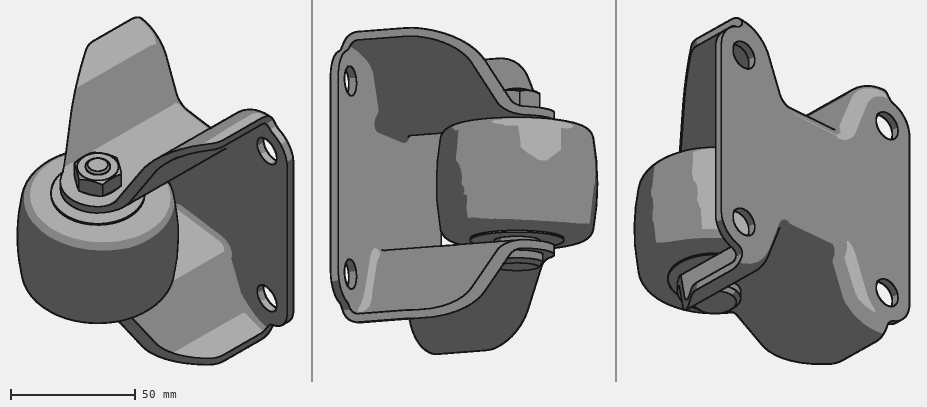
import cadquery as cq
import math


sheet = 3.5
half_height = 59.5
half_width = 52.0
axle_y = -59.4
through = 238.0

hole_pitch = 79.1
hole_diameter = 12.0
hole_offset = hole_pitch / 2
plate_corner_radius = half_width - hole_offset
plate_relief_radius = 4.8
fold_inner_radius = sheet
fold_outer_radius = fold_inner_radius + sheet

leg_half_width = 40.0
middle_half_width = 12.0
middle_outer_z = 29.0
middle_inner_z = middle_outer_z - sheet
valley_radius = 4.0
crest_radius = 19.4
tongue_radius = 15.1
wing_corner_y = -30.0
wing_corner_radius = 10.0

axle_radius = 5.0
axle_chamfer = 1.0
axle_top_z = 38.3
nut_across_flats = 17.5
nut_top_z = 37.1
nut_face_radius = 8.3
nut_chamfer_angle = math.radians(30)
head_radius = 10.5
head_height = 5.0
head_chamfer = 1.8

wheel_radius = 32.5
wheel_half_width = 22.5
crown_radius = 107.1
wheel_edge_radius = 5.0
hub_radius = 18.9
hub_half_width = 23.2
spacer_radius = 9.2


def leg_prism(offset, front_y):
    """Solid between both legs' faces lying `offset` inside the outer face, starting at Y = front_y."""
    valley = valley_radius + offset
    crest = crest_radius - offset
    valley_x, valley_z = middle_half_width, middle_outer_z + valley_radius
    crest_x, crest_z = leg_half_width, half_height - crest_radius

    run = crest_x - valley_x
    rise = crest_z - valley_z
    slope = math.atan2(rise, run) + math.asin((valley + crest) / math.hypot(run, rise))

    def on_valley(angle):
        return valley_x + valley * math.sin(angle), valley_z - valley * math.cos(angle)

    def on_crest(angle):
        return crest_x - crest * math.sin(angle), crest_z + crest * math.cos(angle)

    quarter = (
        cq.Workplane("XZ", origin=(0, front_y, 0))
        .moveTo(0, 0)
        .lineTo(0, on_valley(0)[1])
        .lineTo(*on_valley(0))
        .threePointArc(on_valley(slope / 2), on_valley(slope))
        .lineTo(*on_crest(slope))
        .threePointArc(on_crest(slope / 2), on_crest(0))
        .lineTo(half_width, on_crest(0)[1])
        .lineTo(half_width, 0)
        .close()
        .extrude(through)
    )
    upper = quarter.union(quarter.mirror("YZ"))
    return upper.union(upper.mirror("XY")).clean()


def rounded_back(prism, radius):
    """Round the profile edges where the +Y face of the prism meets the leg faces."""
    return prism.faces(">Y").edges("not |Z").fillet(radius)


def plate_outline():
    """Outline of the bracket along Y, as a prism: legs plus the four rounded mounting ears."""
    reach = plate_corner_radius + plate_relief_radius
    relief_x = leg_half_width + plate_relief_radius
    relief_z = hole_offset + math.sqrt(reach**2 - (relief_x - hole_offset) ** 2)
    turn = math.atan2(relief_z - hole_offset, relief_x - hole_offset)

    def on_corner(angle):
        return (
            hole_offset + plate_corner_radius * math.cos(angle),
            hole_offset + plate_corner_radius * math.sin(angle),
        )

    def on_relief(angle):
        return (
            relief_x - plate_relief_radius * math.cos(angle),
            relief_z - plate_relief_radius * math.sin(angle),
        )

    quarter = (
        cq.Workplane("XZ")
        .moveTo(0, 0)
        .lineTo(half_width, 0)
        .lineTo(*on_corner(0))
        .threePointArc(on_corner(turn / 2), on_corner(turn))
        .threePointArc(on_relief(turn / 2), on_relief(0))
        .lineTo(leg_half_width, half_height)
        .lineTo(0, half_height)
        .close()
        .extrude(through)
    )
    right = quarter.union(quarter.mirror("XY"))
    return right.union(right.mirror("YZ")).clean()


def leg_outline():
    """Outline of the legs along Z, as a prism: straight sides, slanted edges and tongue, plus the plate."""
    corner_drop = wing_corner_y - axle_y
    distance = math.hypot(leg_half_width, corner_drop)
    normal = math.atan2(corner_drop, leg_half_width) - math.acos(tongue_radius / distance)
    tangent_x = tongue_radius * math.cos(normal)
    tangent_y = axle_y + tongue_radius * math.sin(normal)

    wings = (
        cq.Workplane("XY")
        .polyline(
            [
                (-leg_half_width, 0),
                (leg_half_width, 0),
                (leg_half_width, wing_corner_y),
                (tangent_x, tangent_y),
                (-tangent_x, tangent_y),
                (-leg_half_width, wing_corner_y),
            ]
        )
        .close()
        .extrude(through / 2, both=True)
    )
    wing_corners = cq.selectors.BoxSelector(
        (-half_width, wing_corner_y - 1.2, -1.2), (half_width, wing_corner_y + 1.2, 1.2)
    )
    wings = wings.edges("|Z").edges(wing_corners).fillet(wing_corner_radius)
    tongue = (
        cq.Workplane("XY").center(0, axle_y).circle(tongue_radius).extrude(through / 2, both=True)
    )
    plate = cq.Workplane("XY").box(2 * half_width, 2 * fold_outer_radius, through)
    return wings.union(tongue).union(plate)


def mounting_holes():
    """Cutters for the four holes through the mounting plate."""
    return (
        cq.Workplane("XZ")
        .rect(hole_pitch, hole_pitch, forConstruction=True)
        .vertices()
        .circle(hole_diameter / 2)
        .extrude(through)
    )


def make_nut():
    """Hexagon nut with corners along Y, both ends chamfered by a cone."""
    blank = (
        cq.Workplane("XY", origin=(0, axle_y, middle_outer_z))
        .polygon(6, nut_across_flats, circumscribed=True)
        .extrude(nut_top_z - middle_outer_z)
    )
    corner_radius = nut_across_flats / math.sqrt(3)
    chamfer_height = (corner_radius - nut_face_radius) * math.tan(nut_chamfer_angle)
    envelope = (
        cq.Workplane("XY", origin=(0, axle_y, middle_outer_z))
        .circle(corner_radius)
        .extrude(nut_top_z - middle_outer_z)
        .faces("<Z or >Z")
        .chamfer(chamfer_height, corner_radius - nut_face_radius)
    )
    return blank.intersect(envelope)


def make_axle():
    """Bolt shank through both legs, with a round chamfered head under the lower leg."""
    shank = (
        cq.Workplane("XY", origin=(0, axle_y, -middle_outer_z))
        .circle(axle_radius)
        .extrude(axle_top_z + middle_outer_z)
        .faces(">Z")
        .chamfer(axle_chamfer)
    )
    head = (
        cq.Workplane("XY", origin=(0, axle_y, -middle_outer_z))
        .circle(head_radius)
        .extrude(-head_height)
        .faces("<Z")
        .chamfer(head_chamfer)
    )
    return shank.union(head)


def make_bracket():
    """Bent sheet trimmed to its outlines, carrying the fixed axle bolt and nut."""
    outer = rounded_back(leg_prism(0, 0), fold_outer_radius)
    inner = rounded_back(leg_prism(sheet, -sheet), fold_inner_radius)
    folded = outer.cut(inner)
    trimmed = folded.intersect(plate_outline()).intersect(leg_outline()).cut(mounting_holes())
    return trimmed.union(make_axle()).union(make_nut())


def make_wheel():
    """Revolved wheel: spacers, hub faces and a crowned tread with rounded edges, bored for the axle."""
    crown_centre = wheel_radius - crown_radius
    edge_z = wheel_half_width - wheel_edge_radius
    lean = math.asin(edge_z / (crown_radius - wheel_edge_radius))
    edge_r = crown_centre + (crown_radius - wheel_edge_radius) * math.cos(lean)
    mid_angle = (lean + math.pi / 2) / 2

    tread_end = (crown_centre + crown_radius * math.cos(lean), crown_radius * math.sin(lean))
    edge_mid = (
        edge_r + wheel_edge_radius * math.cos(mid_angle),
        edge_z + wheel_edge_radius * math.sin(mid_angle),
    )

    half_section = (
        cq.Workplane("XZ", origin=(0, axle_y, 0))
        .moveTo(-axle_radius, -middle_inner_z)
        .lineTo(-spacer_radius, -middle_inner_z)
        .lineTo(-spacer_radius, -hub_half_width)
        .lineTo(-hub_radius, -hub_half_width)
        .lineTo(-hub_radius, -wheel_half_width)
        .lineTo(-edge_r, -wheel_half_width)
        .threePointArc((-edge_mid[0], -edge_mid[1]), (-tread_end[0], -tread_end[1]))
        .threePointArc((-wheel_radius, 0), (-tread_end[0], tread_end[1]))
        .threePointArc((-edge_mid[0], edge_mid[1]), (-edge_r, wheel_half_width))
        .lineTo(-hub_radius, wheel_half_width)
        .lineTo(-hub_radius, hub_half_width)
        .lineTo(-spacer_radius, hub_half_width)
        .lineTo(-spacer_radius, middle_inner_z)
        .lineTo(-axle_radius, middle_inner_z)
        .close()
    )
    return half_section.revolve(360, (0, 0, 0), (0, 1, 0))


bracket = make_bracket()
wheel = make_wheel()
result = cq.Compound.makeCompound([bracket.val(), wheel.val()])